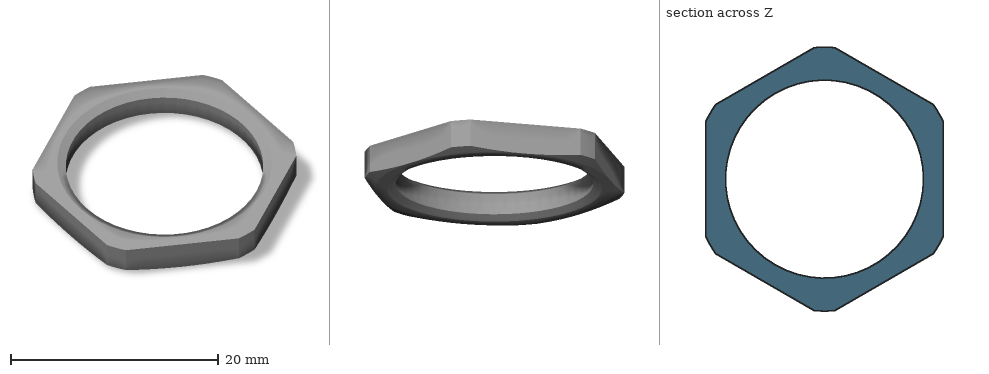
import cadquery as cq
import math

ACROSS_FLATS = 23.0
CORNER_DIAMETER = 25.5
THICKNESS = 3.0
BORE_DIAMETER = 19.05
COUNTERSINK_DIAMETER = 20.7
COUNTERSINK_SLOPE = 30.0
CORNER_CHAMFER_SLOPE = 15.0
HEXAGON_SIDES = 6

half_side_angle = 180 / HEXAGON_SIDES
across_corners = ACROSS_FLATS / math.cos(math.radians(half_side_angle))
corner_radius = CORNER_DIAMETER / 2
bore_radius = BORE_DIAMETER / 2
countersink_radius = COUNTERSINK_DIAMETER / 2
countersink_depth = (countersink_radius - bore_radius) * math.tan(math.radians(COUNTERSINK_SLOPE))
bearing_radius = ACROSS_FLATS / 2
corner_chamfer_height = (corner_radius - bearing_radius) * math.tan(math.radians(CORNER_CHAMFER_SLOPE))


def hexagon_prism():
    """Hexagon standing on the XY plane, with two flats facing +X and -X."""
    return (
        cq.Workplane("XY")
        .transformed(rotate=(0, 0, half_side_angle))
        .polygon(HEXAGON_SIDES, across_corners)
        .extrude(THICKNESS)
    )


def turned_ring():
    """Ring with the bore, a countersink at each end and the conical chamfer under the corners."""
    profile = [
        (bore_radius, countersink_depth),
        (countersink_radius, 0),
        (bearing_radius, 0),
        (corner_radius, corner_chamfer_height),
        (corner_radius, THICKNESS),
        (countersink_radius, THICKNESS),
        (bore_radius, THICKNESS - countersink_depth),
    ]
    return cq.Workplane("XZ").polyline(profile).close().revolve(360, (0, 0, 0), (0, 1, 0))


result = hexagon_prism().intersect(turned_ring())